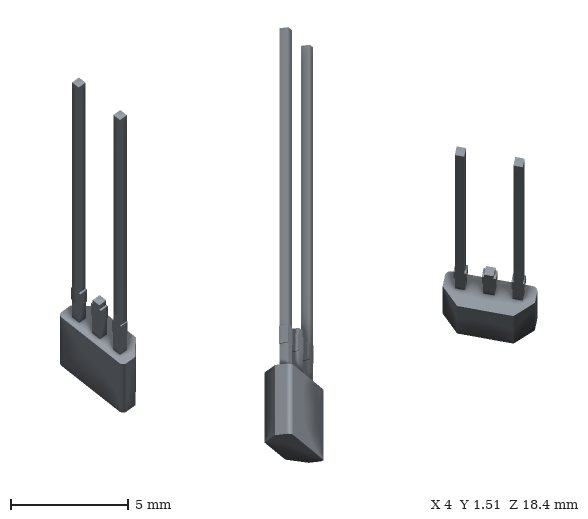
import cadquery as cq

housing_width = 4.0
housing_depth = 1.51
housing_height = 3.15
back_chamfer = 0.77
front_corner_radius = 0.22

overall_height = 18.45
lead_thickness = 0.4
lead_front_gap = 0.33
collar_bottom = 4.28
collar_top = 5.05
tip_width = 0.4

outer_tip_edge = 1.48
outer_root_width = 0.45
outer_collar_edge = 1.53
outer_collar_width = 0.55

middle_root_width = 0.5
middle_collar_width = 0.6
middle_height = 5.33


def make_housing():
    block = cq.Workplane("XY").box(
        housing_width, housing_depth, housing_height, centered=(True, True, False)
    )
    block = block.edges("|Z and >Y").chamfer(back_chamfer)
    return block.edges("|Z and <Y").fillet(front_corner_radius)


def lead_section(x_start, width, z_bottom, z_top):
    """One straight stretch of a lead."""
    y_front = -housing_depth / 2 + lead_front_gap
    return (
        cq.Workplane("XY")
        .box(width, lead_thickness, z_top - z_bottom, centered=False)
        .translate((x_start, y_front, z_bottom))
    )


def make_middle_lead():
    root = lead_section(-middle_root_width / 2, middle_root_width, housing_height, collar_bottom)
    collar = lead_section(-middle_collar_width / 2, middle_collar_width, collar_bottom, collar_top)
    tip = lead_section(-tip_width / 2, tip_width, collar_top, middle_height)
    return root.union(collar).union(tip)


def make_outer_lead(side):
    """Long lead on the left (side = -1) or the right (side = 1)."""
    root = lead_section(-outer_tip_edge, outer_root_width, housing_height, collar_bottom)
    collar = lead_section(-outer_collar_edge, outer_collar_width, collar_bottom, collar_top)
    tip = lead_section(-outer_tip_edge, tip_width, collar_top, overall_height)
    lead = root.union(collar).union(tip)
    return lead.mirror("YZ") if side > 0 else lead


housing = make_housing()
middle_lead = make_middle_lead()
outer_leads = [make_outer_lead(side) for side in (-1, 1)]

result = cq.Compound.makeCompound(
    [housing.val(), middle_lead.val(), *[lead.val() for lead in outer_leads]]
)